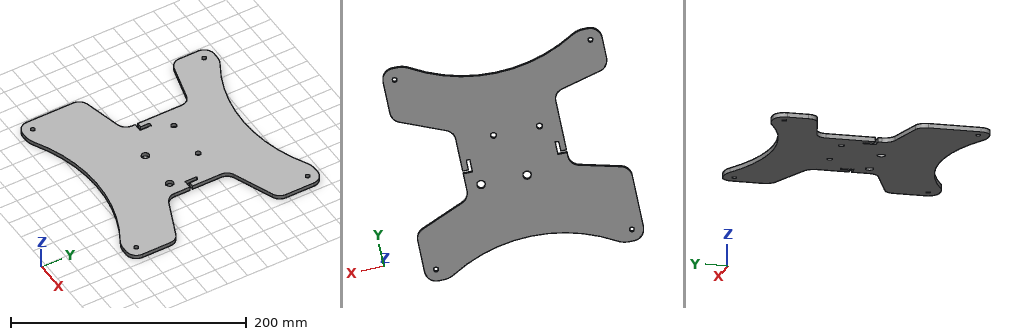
import cadquery as cq
import math

side = 190.0
thickness = 4.0
half = side / 2
corner_radius = 10.0

bow_radius = 139.0
bow_depth = 22.0
bow_blend_radius = 19.0

waist_half = 45.0
left_notch_center_y = 13.7
left_notch_inner_half = 32.3
left_notch_outer_half = 44.8
right_notch_center_y = 0.0
right_notch_inner_half = 29.8
right_notch_outer_half = 50.5

slot_bottom_y = -7.6
slot_entry_width = 2.5
slot_depth = 8.0
slot_leg_width = 3.0
slot_leg_height = 11.2
slot_tip_radius = 1.5

corner_hole_offset = 85.0
corner_hole_diameter = 4.0
center_hole_spacing = 39.9
center_hole_y = center_hole_spacing / 2
upper_hole_left_x = -27.0
upper_hole_diameter = 5.0
lower_hole_left_x = -7.8
lower_hole_diameter = 7.0


def make_notch(direction, center_y, inner_half, outer_half):
    """Trapezoid that opens towards the -X (direction -1) or +X (direction 1) side."""
    return (
        cq.Workplane("XY")
        .polyline([
            (direction * waist_half, center_y - inner_half),
            (direction * waist_half, center_y + inner_half),
            (direction * half, center_y + outer_half),
            (direction * half, center_y - outer_half),
        ])
        .close()
        .extrude(thickness)
    )


def make_slot(direction):
    """L-shaped slot: an entry from the notch and a leg rising at its inner end."""
    mouth_x = direction * waist_half
    inner_x = direction * (waist_half - slot_depth)
    outer_x = direction * (waist_half - slot_depth + slot_leg_width)
    entry_top_y = slot_bottom_y + slot_entry_width
    tip_y = slot_bottom_y + slot_leg_height
    tip_start_y = tip_y - slot_tip_radius
    tip_center_x = outer_x - direction * slot_tip_radius
    diagonal = slot_tip_radius * math.sqrt(0.5)
    return (
        cq.Workplane("XY")
        .moveTo(mouth_x, slot_bottom_y)
        .lineTo(inner_x, slot_bottom_y)
        .lineTo(inner_x, tip_y)
        .lineTo(tip_center_x, tip_y)
        .threePointArc((tip_center_x + direction * diagonal, tip_start_y + diagonal), (outer_x, tip_start_y))
        .lineTo(outer_x, entry_top_y)
        .lineTo(mouth_x, entry_top_y)
        .close()
        .extrude(thickness)
    )


def drill(body, points, diameter):
    """Cut vertical through holes at the given points."""
    return body.cut(cq.Workplane("XY").pushPoints(points).circle(diameter / 2).extrude(thickness))


def fillet_at(body, points, radius):
    """Round the vertical edges that stand at the given points."""
    for x, y in points:
        nearest = cq.selectors.NearestToPointSelector((x, y, thickness / 2))
        body = body.edges("|Z").edges(nearest).fillet(radius)
    return body


plate = cq.Workplane("XY").rect(side, side).extrude(thickness)
bow_center_y = half - bow_depth + bow_radius
for y in (-bow_center_y, bow_center_y):
    plate = plate.cut(cq.Workplane("XY").center(0, y).circle(bow_radius).extrude(thickness))
plate = plate.cut(make_notch(-1, left_notch_center_y, left_notch_inner_half, left_notch_outer_half))
plate = plate.cut(make_notch(1, right_notch_center_y, right_notch_inner_half, right_notch_outer_half))

bow_end_x = math.sqrt(bow_radius**2 - (bow_radius - bow_depth) ** 2)
bow_ends = [(x, y) for x in (-bow_end_x, bow_end_x) for y in (-half, half)]
plate = fillet_at(plate, bow_ends, bow_blend_radius)

plate = plate.edges("|Z and (<X or >X)").fillet(corner_radius)
waist_corners = [
    (direction * waist_half, center_y + end * inner_half)
    for direction, center_y, inner_half in (
        (-1, left_notch_center_y, left_notch_inner_half),
        (1, right_notch_center_y, right_notch_inner_half),
    )
    for end in (-1, 1)
]
plate = fillet_at(plate, waist_corners, corner_radius)

for direction in (-1, 1):
    plate = plate.cut(make_slot(direction))

corner_points = [
    (x, y)
    for x in (-corner_hole_offset, corner_hole_offset)
    for y in (-corner_hole_offset, corner_hole_offset)
]
plate = drill(plate, corner_points, corner_hole_diameter)
for left_x, y, diameter in (
    (upper_hole_left_x, center_hole_y, upper_hole_diameter),
    (lower_hole_left_x, -center_hole_y, lower_hole_diameter),
):
    plate = drill(plate, [(left_x, y), (left_x + center_hole_spacing, y)], diameter)

result = plate